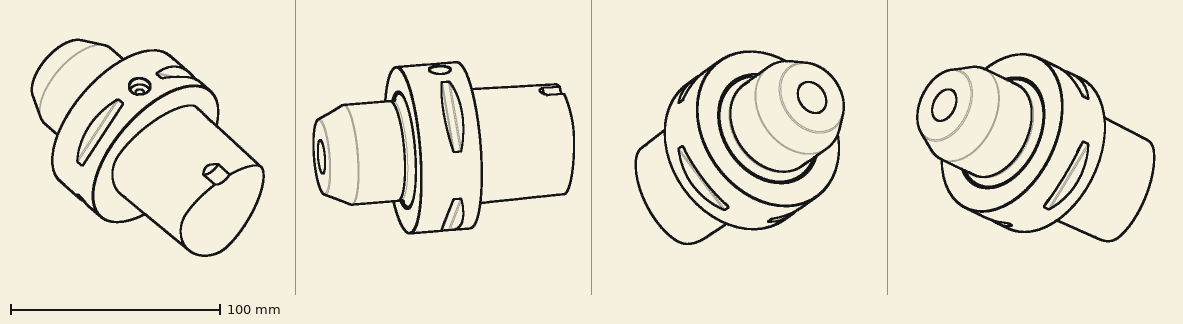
import cadquery as cq
import math

cone_end = 12.7
neck_end = 35.6
fillet_start = 36.9
collar_start = 39.9
collar_end = 69.7
total_length = 118.0

edge_margin = 0.1

nose_radius = 18.0
nose_fillet = 0.7
shoulder_fillet = 1.2
neck_end_chamfer = 0.1
neck_radius = 48.0 / 2
undercut_radius = 47.8 / 2
fillet_radius = 3.3
recess_radius = 28.2
collar_radius = 80.0 / 2
collar_chamfer = 0.2
bore_radius = 16.0 / 2
bore_depth = 47.2

shank_base_radius = 27.6
shank_tip_radius = 26.4
lobe_height = 2.1
lobes = 3
curve_points = 48

groove_x = 58.0
groove_floor = 35.5
groove_floor_half_width = 1.9
groove_fillet = 0.7
groove_flank_angle = 30.0
groove_angles = (45, 135, 225, 315)

socket_radius = 10.0 / 2
socket_chamfer = 0.2
socket_depth = 4.7
pilot_radius = 4.0 / 2
pilot_depth = 3.5
drill_tip_angle = 118.0

keyway_x = 109.6
keyway_width = 9.8
keyway_depth = 2.2


def make_body():
    """Turned nose, neck and collar, with a filleted recess in the collar face."""
    recess_floor = fillet_start + fillet_radius
    fillet_top = undercut_radius + fillet_radius
    fillet_mid = (
        fillet_start + fillet_radius * math.sin(math.pi / 4),
        fillet_top - fillet_radius * math.cos(math.pi / 4),
    )
    body = (
        cq.Workplane("XY")
        .lineTo(0, nose_radius)
        .lineTo(cone_end, neck_radius)
        .lineTo(neck_end - neck_end_chamfer, neck_radius)
        .lineTo(neck_end, undercut_radius)
        .lineTo(fillet_start, undercut_radius)
        .threePointArc(fillet_mid, (recess_floor, fillet_top))
        .lineTo(collar_start, recess_radius)
        .lineTo(collar_start, collar_radius - collar_chamfer)
        .lineTo(collar_start + collar_chamfer, collar_radius)
        .lineTo(collar_end - collar_chamfer, collar_radius)
        .lineTo(collar_end, collar_radius - collar_chamfer)
        .lineTo(collar_end, 0)
        .close()
        .revolve(360, (0, 0, 0), (1, 0, 0))
    )
    body = body.faces("<X").edges().fillet(nose_fillet)
    shoulder = cq.selectors.BoxSelector(
        (cone_end - edge_margin, -collar_radius, -collar_radius),
        (cone_end + edge_margin, collar_radius, collar_radius),
    )
    return body.edges(shoulder).edges("%CIRCLE").fillet(shoulder_fillet)


def lobed_point(mean_radius, angle):
    """Point whose tangent line lies mean_radius + lobe_height * cos(lobes * angle) from the axis."""
    reach = mean_radius + lobe_height * math.cos(lobes * angle)
    slope = -lobes * lobe_height * math.sin(lobes * angle)
    along = reach * math.cos(angle) - slope * math.sin(angle)
    across = reach * math.sin(angle) + slope * math.cos(angle)
    return (across, -along)


def make_shank():
    """Tapered shank with a lobed section."""
    angles = [2 * math.pi * i / curve_points for i in range(curve_points)]
    base = [lobed_point(shank_base_radius, angle) for angle in angles]
    tip = [lobed_point(shank_tip_radius, angle) for angle in angles]
    return (
        cq.Workplane("YZ", origin=(collar_end, 0, 0))
        .spline(base, periodic=True)
        .close()
        .workplane(offset=total_length - collar_end)
        .spline(tip, periodic=True)
        .close()
        .loft(ruled=True)
    )


def make_groove(angle):
    """Straight groove with sloping flanks, tangent to the collar and turned about X."""
    height = collar_radius - groove_floor
    top_half_width = groove_floor_half_width + height * math.tan(math.radians(groove_flank_angle))
    return (
        cq.Workplane("XZ", origin=(groove_x, 0, groove_floor))
        .moveTo(-groove_floor_half_width, 0)
        .lineTo(groove_floor_half_width, 0)
        .lineTo(top_half_width, height)
        .lineTo(-top_half_width, height)
        .close()
        .extrude(collar_radius, both=True)
        .faces("<Z")
        .edges("|Y")
        .fillet(groove_fillet)
        .rotate((0, 0, 0), (1, 0, 0), angle)
    )


def make_socket():
    """Flat-bottomed radial hole followed by a smaller drilled pilot."""
    socket_floor = collar_radius - socket_depth
    pilot_end = socket_floor - pilot_depth
    drill_tip = pilot_end - pilot_radius / math.tan(math.radians(drill_tip_angle / 2))
    return (
        cq.Workplane("XZ", origin=(groove_x, 0, 0))
        .moveTo(0, drill_tip)
        .lineTo(pilot_radius, pilot_end)
        .lineTo(pilot_radius, socket_floor)
        .lineTo(socket_radius, socket_floor)
        .lineTo(socket_radius, collar_radius)
        .lineTo(0, collar_radius)
        .close()
        .revolve(360, (0, 0, 0), (0, 1, 0))
    )


def chamfer_socket_mouth(part):
    """Break the edge where the radial hole meets the collar surface."""
    mouth = cq.selectors.BoxSelector(
        (groove_x - 2 * socket_radius, -2 * socket_radius, collar_radius - socket_radius / 2),
        (groove_x + 2 * socket_radius, 2 * socket_radius, collar_radius + socket_radius / 2),
        boundingbox=True,
    )
    return part.edges(mouth).chamfer(socket_chamfer)


def make_keyway():
    """Round-bottomed channel along X whose inner end runs out as a 45 degree cone."""
    radius = ((keyway_width / 2) ** 2 + keyway_depth**2) / (2 * keyway_depth)
    flat_height = shank_tip_radius - lobe_height
    axis_height = flat_height - keyway_depth + radius
    return (
        cq.Workplane("XZ", origin=(0, 0, axis_height))
        .moveTo(keyway_x - radius, 0)
        .lineTo(keyway_x, radius)
        .lineTo(total_length, radius)
        .lineTo(total_length, 0)
        .close()
        .revolve(360, (0, 0, 0), (1, 0, 0))
    )


bore = cq.Workplane("YZ").circle(bore_radius).extrude(bore_depth)

result = make_body().union(make_shank()).cut(bore)
for groove_angle in groove_angles:
    result = result.cut(make_groove(groove_angle))
result = chamfer_socket_mouth(result.cut(make_socket()))
result = result.cut(make_keyway())